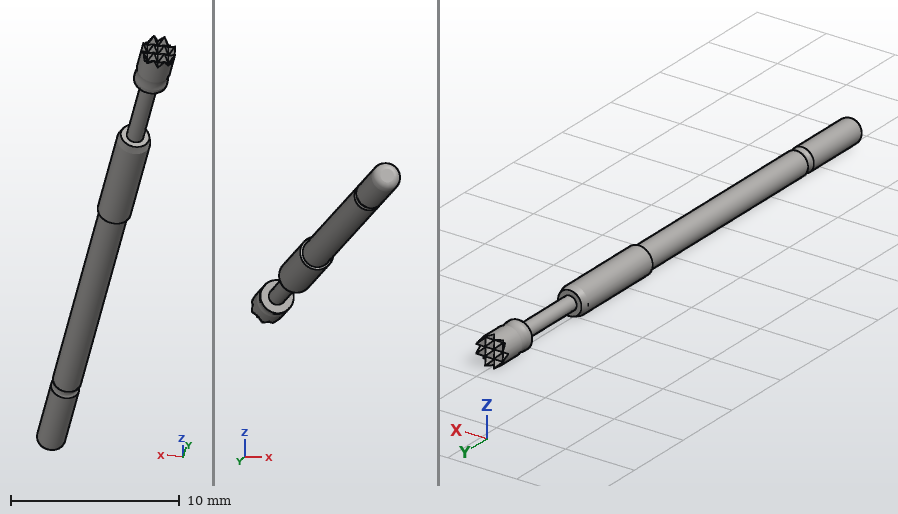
import cadquery as cq
import math

total_length = 37.3

head_radius = 1.0
head_length = 3.0
groove_count = 3
tooth_pitch = 0.65
tooth_depth = 0.52
ring_center_from_tip = 2.3
ring_half_width = 0.37
ring_depth = 0.055

shaft_diameter = 1.0
shaft_radius = shaft_diameter / 2

collar_radius = 1.0
collar_from_tip = 8.25
collar_length = 7.1
collar_chamfer_length = 0.5
collar_chamfer_depth = 0.15
barrel_radius = 0.85

crimp_from_tip = 31.48
crimp_width = 0.6
crimp_depth = 0.1

tail_round = 0.45

tip_y = total_length
head_y = tip_y - head_length
ring_y = tip_y - ring_center_from_tip
collar_top_y = tip_y - collar_from_tip
collar_bottom_y = collar_top_y - collar_length
crimp_top_y = tip_y - crimp_from_tip
crimp_bottom_y = crimp_top_y - crimp_width
crimp_y = (crimp_top_y + crimp_bottom_y) / 2
tail_arc = tail_round * math.sqrt(0.5)


def revolved_body():
    """Half profile (radius, Y) of the whole pin, turned about the Y axis."""
    profile = (
        cq.Workplane("XY")
        .moveTo(0, 0)
        .lineTo(barrel_radius - tail_round, 0)
        .threePointArc(
            (barrel_radius - tail_round + tail_arc, tail_round - tail_arc),
            (barrel_radius, tail_round),
        )
        .lineTo(barrel_radius, crimp_bottom_y)
        .threePointArc(
            (barrel_radius - crimp_depth, crimp_y),
            (barrel_radius, crimp_top_y),
        )
        .lineTo(barrel_radius, collar_bottom_y)
        .lineTo(collar_radius, collar_bottom_y)
        .lineTo(collar_radius, collar_top_y - collar_chamfer_length)
        .lineTo(collar_radius - collar_chamfer_depth, collar_top_y)
        .lineTo(shaft_radius, collar_top_y)
        .lineTo(shaft_radius, head_y)
        .lineTo(head_radius, head_y)
        .lineTo(head_radius, ring_y - ring_half_width)
        .threePointArc(
            (head_radius - ring_depth, ring_y),
            (head_radius, ring_y + ring_half_width),
        )
        .lineTo(head_radius, tip_y)
        .lineTo(0, tip_y)
        .close()
    )
    return profile.revolve(360, (0, 0, 0), (0, 1, 0))


def cut_teeth(body):
    """Cut two crossing sets of V grooves so a square grid of pointed teeth remains on the head."""
    groove = (
        cq.Workplane("XY")
        .moveTo(-tooth_pitch / 2, tip_y)
        .lineTo(0, tip_y - tooth_depth)
        .lineTo(tooth_pitch / 2, tip_y)
        .close()
        .extrude(head_radius, both=True)
    )
    for index in range(groove_count):
        offset = (index - (groove_count - 1) / 2) * tooth_pitch
        groove_along_z = groove.translate((offset, 0, 0))
        groove_along_x = groove_along_z.rotate((0, 0, 0), (0, 1, 0), 90)
        body = body.cut(groove_along_z).cut(groove_along_x)
    return body


result = cut_teeth(revolved_body())